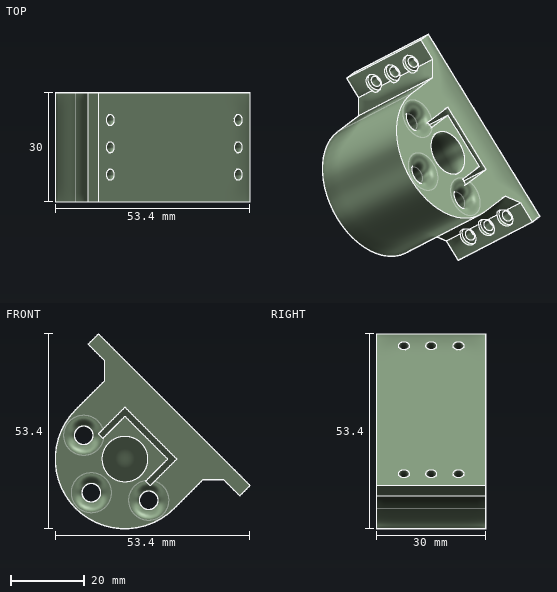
import cadquery as cq
import math

overall_side = 53.35
depth = 30.0

round_radius = 19.1
plate_face = round_radius
plate_half_length = (overall_side - round_radius) * math.sqrt(2) - plate_face
plate_thickness = 4.0
shoulder_chamfer = 4.0
plate_back = plate_face - plate_thickness
shoulder_base = plate_back - shoulder_chamfer
shoulder_half_width = round_radius + shoulder_chamfer

bore_diameter = 12.5
pocket_depth = 24.95
groove_outer = 10.05
groove_width = 1.75
groove_end = -0.25

flared_diameter = 5.0
flare_radius = 3.0
flared_circle_radius = 13.0
flared_angles = (-165, -90, -15)

screw_diameter = 3.0
screw_head_diameter = 5.0
screw_head_floor = 16.1
screw_u = 24.75
screw_pitch = 7.45

u_direction = cq.Vector(1, 0, -1).normalized()
v_direction = cq.Vector(1, 0, 1).normalized()
front_plane = cq.Plane(origin=(0, 0, 0), xDir=u_direction.toTuple(), normal=(0, -1, 0))


def make_body():
    """Round-ended block widening through chamfered shoulders into the mounting plate."""
    return (
        cq.Workplane(front_plane)
        .moveTo(-round_radius, 0)
        .threePointArc((0, -round_radius), (round_radius, 0))
        .lineTo(round_radius, shoulder_base)
        .lineTo(shoulder_half_width, plate_back)
        .lineTo(plate_half_length, plate_back)
        .lineTo(plate_half_length, plate_face)
        .lineTo(-plate_half_length, plate_face)
        .lineTo(-plate_half_length, plate_back)
        .lineTo(-shoulder_half_width, plate_back)
        .lineTo(-round_radius, shoulder_base)
        .close()
        .extrude(-depth)
    )


def make_bore():
    return cq.Workplane(front_plane).circle(bore_diameter / 2).extrude(-pocket_depth)


def make_groove():
    """U-shaped groove, open away from the plate."""
    groove_inner = groove_outer - groove_width
    return (
        cq.Workplane(front_plane)
        .moveTo(-groove_outer, groove_end)
        .lineTo(-groove_outer, groove_outer)
        .lineTo(groove_outer, groove_outer)
        .lineTo(groove_outer, groove_end)
        .lineTo(groove_inner, groove_end)
        .lineTo(groove_inner, groove_inner)
        .lineTo(-groove_inner, groove_inner)
        .lineTo(-groove_inner, groove_end)
        .close()
        .extrude(-pocket_depth)
    )


def make_flared_hole(angle):
    """Through hole whose front mouth is rounded outwards by a quarter-circle flare."""
    hole_radius = flared_diameter / 2
    mouth_radius = hole_radius + flare_radius
    arc_offset = flare_radius * math.sqrt(0.5)
    u = flared_circle_radius * math.cos(math.radians(angle))
    v = flared_circle_radius * math.sin(math.radians(angle))
    centre = u_direction * u + v_direction * v
    return (
        cq.Workplane("XY")
        .lineTo(mouth_radius, 0)
        .threePointArc((mouth_radius - arc_offset, flare_radius - arc_offset), (hole_radius, flare_radius))
        .lineTo(hole_radius, depth)
        .lineTo(0, depth)
        .close()
        .revolve(360, (0, 0, 0), (0, 1, 0))
        .translate(centre)
    )


def make_screw_hole(u, y):
    """Screw hole through the plate, counterbored from the back and through the shoulder."""
    axis_foot = u_direction * u + cq.Vector(0, y, 0)
    head = cq.Solid.makeCylinder(screw_head_diameter / 2, screw_head_floor, axis_foot, v_direction)
    shank = cq.Solid.makeCylinder(screw_diameter / 2, plate_face, axis_foot, v_direction)
    return cq.Workplane(head.fuse(shank))


result = make_body().cut(make_bore()).cut(make_groove())

for flared_angle in flared_angles:
    result = result.cut(make_flared_hole(flared_angle))

for side in (-1, 1):
    for row in (-1, 0, 1):
        result = result.cut(make_screw_hole(side * screw_u, depth / 2 + row * screw_pitch))